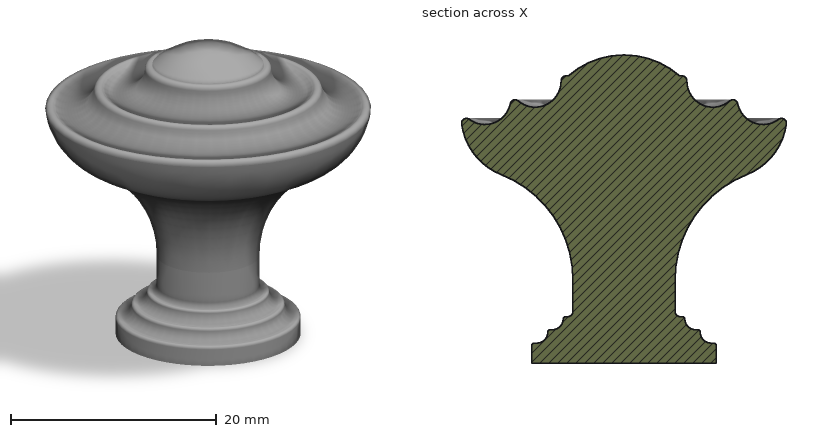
import cadquery as cq
import math

total_height = 30.0
head_diameter = 31.67

foot_radius = 9.0
foot_top = 2.0
middle_step_radius = 7.45
middle_step_top = 3.3
upper_step_radius = 5.95
upper_step_top = 4.55
lower_edge_radius = 0.3
upper_edge_radius = 0.25
middle_cove_radius = middle_step_top - lower_edge_radius - foot_top
upper_cove_radius = upper_step_top - upper_edge_radius - middle_step_top
neck_cove_radius = 0.5

neck_radius = 5.0
neck_top = 8.16
flare_radius = 10.9
flare_center = (neck_radius + flare_radius, neck_top)

bead_radius = 0.5
cove_radius = 2.5
rim_bead = (head_diameter / 2 - bead_radius, 23.33)
middle_bead = (10.6, 25.14)
collar_bead = (5.65, 27.46)

bowl_radius = 6.25
dome_base_radius = 5.42


def point_at_angle(center, radius, angle):
    return (center[0] + radius * math.cos(angle), center[1] + radius * math.sin(angle))


def point_toward(start, target, distance):
    """Point on the ray from start through target, at a distance from start."""
    angle = math.atan2(target[1] - start[1], target[0] - start[0])
    return point_at_angle(start, distance, angle)


def point_at_distances(first, first_distance, second, second_distance):
    """Point at the given distances from two points, to the left when going from first to second."""
    span = math.dist(first, second)
    along = (span**2 + first_distance**2 - second_distance**2) / (2 * span)
    offset = math.sqrt(first_distance**2 - along**2)
    foot = point_toward(first, second, along)
    direction = math.atan2(second[1] - first[1], second[0] - first[0])
    return point_at_angle(foot, offset, direction + math.pi / 2)


def arc_about(profile, center, start, end):
    """Add the shorter arc about center from start to end, where start is the current point."""
    middle = ((start[0] + end[0]) / 2, (start[1] + end[1]) / 2)
    radius = math.dist(center, start)
    return profile.threePointArc(point_toward(center, middle, radius), end)


def add_step(profile, radius, top, edge_radius, next_radius, cove_radius):
    """Add a step's rounded edge and flat top, then the cove up to the next radius."""
    edge_center = (radius - edge_radius, top - edge_radius)
    edge_start = (radius, edge_center[1])
    edge_end = (edge_center[0], top)
    cove_center = (next_radius + cove_radius, top + cove_radius)
    cove_start = (cove_center[0], top)
    cove_end = (next_radius, cove_center[1])
    profile = arc_about(profile, edge_center, edge_start, edge_end)
    profile = profile.lineTo(*cove_start)
    return arc_about(profile, cove_center, cove_start, cove_end)


def add_base(profile):
    """Add the underside and the stepped base; each cove ends where the next rounded edge starts."""
    profile = profile.lineTo(foot_radius, 0)
    profile = profile.lineTo(foot_radius, foot_top - lower_edge_radius)
    profile = add_step(
        profile, foot_radius, foot_top, lower_edge_radius, middle_step_radius, middle_cove_radius
    )
    profile = add_step(
        profile, middle_step_radius, middle_step_top, lower_edge_radius, upper_step_radius, upper_cove_radius
    )
    return add_step(
        profile, upper_step_radius, upper_step_top, upper_edge_radius, neck_radius, neck_cove_radius
    )


def add_neck_and_bowl(profile):
    """Add the straight neck, the flare and the bowl, all tangent, up to the rim bead."""
    bowl_center = point_at_distances(
        flare_center, flare_radius + bowl_radius, rim_bead, bowl_radius - bead_radius
    )
    flare_start = (neck_radius, neck_top)
    flare_end = point_toward(flare_center, bowl_center, flare_radius)
    bowl_end = point_toward(bowl_center, rim_bead, bowl_radius)
    profile = profile.lineTo(*flare_start)
    profile = arc_about(profile, flare_center, flare_start, flare_end)
    profile = arc_about(profile, bowl_center, flare_end, bowl_end)
    return profile, bowl_end


def add_bead_and_cove(profile, start, bead, next_bead):
    """Add the arc over a bead and the tangent cove that rises to the next bead."""
    center_distance = bead_radius + cove_radius
    cove_center = point_at_distances(next_bead, center_distance, bead, center_distance)
    bead_end = point_toward(bead, cove_center, bead_radius)
    cove_end = point_toward(next_bead, cove_center, bead_radius)
    profile = arc_about(profile, bead, start, bead_end)
    profile = arc_about(profile, cove_center, bead_end, cove_end)
    return profile, cove_end


def add_dome(profile, start):
    """Add the collar's rounded edge and flat top, then the dome up to the axis."""
    collar_top = collar_bead[1] + bead_radius
    edge_end = (collar_bead[0], collar_top)
    dome_start = (dome_base_radius, collar_top)
    dome_height = total_height - collar_top
    dome_radius = (dome_base_radius**2 + dome_height**2) / (2 * dome_height)
    dome_center = (0, total_height - dome_radius)
    profile = arc_about(profile, collar_bead, start, edge_end)
    profile = profile.lineTo(*dome_start)
    return arc_about(profile, dome_center, dome_start, (0, total_height))


def make_knob():
    """Revolve the half profile about the vertical axis."""
    profile = cq.Workplane("XZ").moveTo(0, 0)
    profile = add_base(profile)
    profile, rim_start = add_neck_and_bowl(profile)
    profile, middle_start = add_bead_and_cove(profile, rim_start, rim_bead, middle_bead)
    profile, collar_start = add_bead_and_cove(profile, middle_start, middle_bead, collar_bead)
    profile = add_dome(profile, collar_start)
    return profile.close().revolve(360, (0, 0), (0, 1))


result = make_knob()